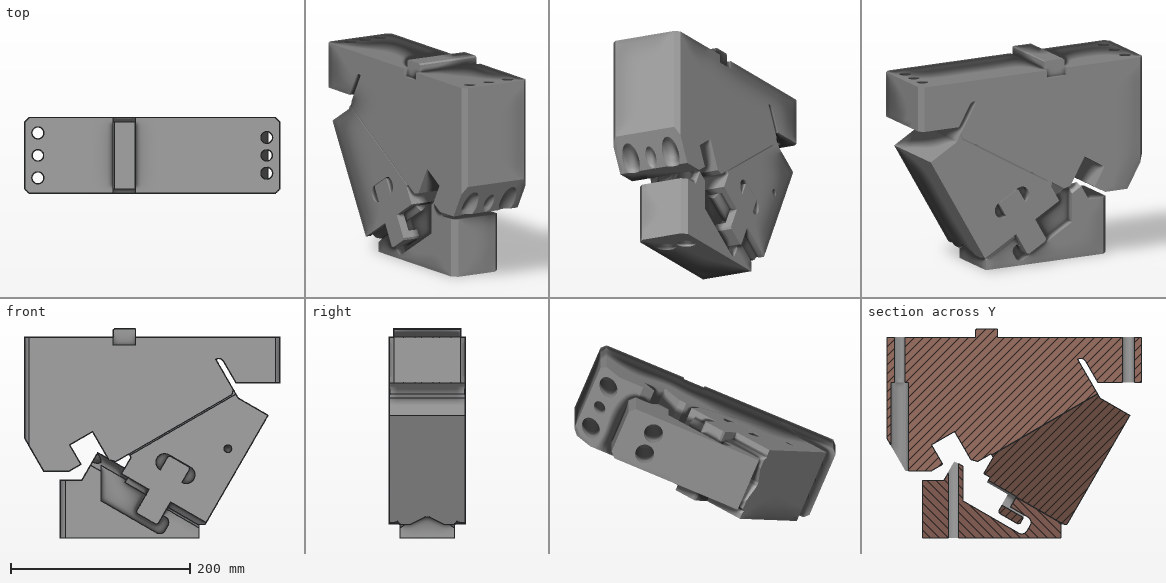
import cadquery as cq
import math


TILT = math.radians(30)
SIN = math.sin(TILT)
COS = math.cos(TILT)
TAN = math.tan(TILT)

LENGTH = 285.0
WIDTH = 85.0
DECK = 224.5
TOP = 234.0
HALF_WIDTH = WIDTH / 2
OVERSIZE = 2 * LENGTH

SLIDE_X = 73.5
SLIDE_Z = 81.5

CORNER_CHAMFER = 5.0
FLANGE_BOTTOM = 173.3
LEG_BOTTOM = 74.7
LEG_SLANT_W = 56.0
LEG_EDGE_H = 40.0
NOTCH_START_W = 95.8
NOTCH_END_W = 125.0
NOTCH_TOP_H = 65.0
NOSE_CHAMFER = 5.7
WEAR_H = 23.0
STEP_WALL_W = 284.7
SLOT_WIDTH = 6.3
SLOT_END_H = 66.0
CORNER_CUT_W = 4.0
CORNER_CUT_H = 4.5
STRIP_START_W = 148.0
STRIP_THICKNESS = 1.7
STRIP_INSET = 0.9

KEY_X = 99.0
KEY_WIDTH = 25.0
KEY_LENGTH = 75.0
KEY_SLOT_DEPTH = 9.0
KEY_LEFT_CHAMFER = 1.7
KEY_RIGHT_CHAMFER = 0.9

BOLT_DIAMETER = 13.0
DOWEL_DIAMETER = 12.5
HEAD_DIAMETER = 20.0
HOLE_INSET = 14.8
LEFT_BOLT_Y = 25.0
RIGHT_BOLT_Y = 20.0

BASE_START = 39.5
BASE_END = 195.0
BASE_SHOULDER = 65.0
BASE_HALF_WIDTH = 30.5
BASE_CHAMFER = 6.0
RIDGE_N = 16.2
BASE_HOLE_DIAMETER = 21.0
BASE_HOLE_X = 74.7
BASE_HOLE_Y = 12.5

POCKET_FLOOR_Y = 20.5
POCKET_START_X = 85.5
POCKET_BOTTOM_N = -28.5
POCKET_END_U = 108.5
POCKET_FILLET = 6.8
LIP_START_U = 79.2
LIP_BOTTOM_N = -8.3

SLIDER_START_U = 34.8
SLIDER_END_U = 144.0
SLIDER_BOTTOM_N = 9.0
SLIDER_TOP_N = 147.3
SLIDER_SIDE_TOP_N = 30.0
SLIDER_SHOULDER_U = 105.2
SLIDER_LOWEST_Z = 15.0
SKIRT_START_U = 43.0
SKIRT_BOTTOM_N = 2.5
GROOVE_OUTER_Y = 36.2
GROOVE_ROOT_Y = 33.0
PIN_U = 123.7
PIN_N = 92.5
PIN_RADIUS = 4.3
PIN_DEPTH = 14.2

HOOK_START_U = 70.0
HOOK_WIDTH = 28.0
HOOK_BOTTOM_N = -20.5
HOOK_TOP_N = 53.3
HOOK_CHAMFER = 2.0
HOOK_INNER_Y = 21.7
SHANK_INNER_Y = 33.3
FOOT_HEIGHT = 9.7
RELIEF_N = 44.2
RELIEF_RADIUS = 9.7

SIDES = (-1, 1)


def on_slide(u, n):
    """X and Z of a point given along and square to the slideway."""
    return SLIDE_X + u * COS + n * SIN, SLIDE_Z - u * SIN + n * COS


def on_wear(w, h):
    """X and Z of a point given along and square to the wear face."""
    return w * COS - h * SIN, w * SIN + h * COS


def slab(points, half_width):
    """Prism over an X-Z outline, centred on the middle plane."""
    return cq.Workplane("XZ").polyline(points).close().extrude(half_width, both=True)


def side_plane(side, y_inner, y_outer):
    """Plane of u and n at the +Y end of a span on one side; its normal is -Y."""
    y_end = max(side * y_inner, side * y_outer)
    return cq.Plane(origin=(SLIDE_X, y_end, SLIDE_Z), xDir=(COS, 0, -SIN), normal=(0, -1, 0))


def side_block(u_span, n_span, y_span, side):
    """Box square to the slideway on one side of the middle plane."""
    return (
        cq.Workplane(side_plane(side, *y_span))
        .moveTo(sum(u_span) / 2, sum(n_span) / 2)
        .rect(u_span[1] - u_span[0], n_span[1] - n_span[0])
        .extrude(y_span[1] - y_span[0])
    )


def along_slide(section, u_start, u_end):
    """Prism along the slideway over a Y-n section."""
    origin_x, origin_z = on_slide(u_start, 0)
    plane = cq.Plane(origin=(origin_x, 0, origin_z), xDir=(0, 1, 0), normal=(COS, 0, -SIN))
    return cq.Workplane(plane).polyline(section).close().extrude(u_end - u_start)


def roof_prism():
    """V-shaped roof with a flat ridge, longer than the base that carries it."""
    ridge_y = BASE_HALF_WIDTH - RIDGE_N / TAN
    section = [
        (-BASE_HALF_WIDTH, 0),
        (-ridge_y, RIDGE_N),
        (ridge_y, RIDGE_N),
        (BASE_HALF_WIDTH, 0),
    ]
    return along_slide(section, 0, LENGTH)


def vertical_holes(x, rows, diameter, z_end):
    """Cylinders from Z = 0 up to z_end, one at each Y in rows."""
    return cq.Workplane("XY").pushPoints([(x, y) for y in rows]).circle(diameter / 2).extrude(z_end)


def housing_blank():
    slant_bottom_x = (LEG_SLANT_W - LEG_BOTTOM * SIN) / COS
    leg_edge_x = (LEG_BOTTOM * COS - LEG_EDGE_H) / SIN
    slot_wall_w = STEP_WALL_W + SLOT_WIDTH
    slot_corner_h = SLOT_END_H - SLOT_WIDTH
    arc_middle = SLOT_WIDTH * math.sqrt(0.5)
    flange_x = (slot_wall_w - FLANGE_BOTTOM * SIN) / COS
    outline = (
        cq.Workplane("XZ")
        .moveTo(0, DECK)
        .lineTo(0, LEG_SLANT_W / SIN)
        .lineTo(slant_bottom_x, LEG_BOTTOM)
        .lineTo(leg_edge_x, LEG_BOTTOM)
        .lineTo(*on_wear(NOTCH_START_W, LEG_EDGE_H))
        .lineTo(*on_wear(NOTCH_START_W, NOTCH_TOP_H))
        .lineTo(*on_wear(NOTCH_END_W, NOTCH_TOP_H))
        .lineTo(*on_wear(NOTCH_END_W, WEAR_H + NOSE_CHAMFER))
        .lineTo(*on_wear(NOTCH_END_W + NOSE_CHAMFER, WEAR_H))
        .lineTo(*on_wear(STEP_WALL_W - CORNER_CUT_W, WEAR_H))
        .lineTo(*on_wear(STEP_WALL_W, WEAR_H + CORNER_CUT_H))
        .lineTo(*on_wear(STEP_WALL_W, SLOT_END_H))
        .threePointArc(
            on_wear(STEP_WALL_W + arc_middle, slot_corner_h + arc_middle),
            on_wear(slot_wall_w, slot_corner_h),
        )
        .lineTo(flange_x, FLANGE_BOTTOM)
        .lineTo(LENGTH, FLANGE_BOTTOM)
        .lineTo(LENGTH, DECK)
        .close()
    )
    blank = outline.extrude(HALF_WIDTH, both=True)
    return blank.edges("|Z").edges("<X or >X").chamfer(CORNER_CHAMFER)


def wear_strip():
    strip_h = WEAR_H - STRIP_THICKNESS
    outline = [
        on_wear(STRIP_START_W, strip_h),
        on_wear(STEP_WALL_W, strip_h),
        on_wear(STEP_WALL_W, WEAR_H + CORNER_CUT_H),
        on_wear(STEP_WALL_W - CORNER_CUT_W, WEAR_H),
        on_wear(STRIP_START_W, WEAR_H),
    ]
    return slab(outline, HALF_WIDTH - STRIP_INSET)


def key_bar(length, top):
    """Bar of the key's width that stands on the floor of the key slot."""
    floor = DECK - KEY_SLOT_DEPTH
    bar = cq.Workplane("XY").box(KEY_WIDTH, length, top - floor, centered=(False, True, False))
    return bar.translate((KEY_X, 0, floor))


def key():
    bar = key_bar(KEY_LENGTH, TOP)
    bar = bar.faces("<X").edges(">Z").chamfer(KEY_LEFT_CHAMFER)
    return bar.faces(">X").edges(">Z").chamfer(KEY_RIGHT_CHAMFER)


def cut_housing_holes(body):
    left_rows = (-LEFT_BOLT_Y, LEFT_BOLT_Y)
    right_rows = (-RIGHT_BOLT_Y, RIGHT_BOLT_Y)
    right_x = LENGTH - HOLE_INSET
    body = body.cut(vertical_holes(HOLE_INSET, left_rows, BOLT_DIAMETER, DECK))
    body = body.cut(vertical_holes(right_x, right_rows, BOLT_DIAMETER, DECK))
    for x in (HOLE_INSET, right_x):
        body = body.cut(vertical_holes(x, [0], DOWEL_DIAMETER, DECK))
    return body.cut(vertical_holes(HOLE_INSET, left_rows, HEAD_DIAMETER, FLANGE_BOTTOM))


def make_housing():
    body = housing_blank().union(wear_strip())
    body = body.cut(key_bar(WIDTH, DECK)).union(key())
    body = cut_housing_holes(body)
    return body.cut(roof_prism())


def base_blank():
    shoulder_x = SLIDE_X - (SLIDE_Z - BASE_SHOULDER) * TAN
    end_top = SLIDE_Z - (BASE_END - SLIDE_X) * TAN
    outline = [
        (BASE_START, 0),
        (BASE_START, BASE_SHOULDER),
        (shoulder_x, BASE_SHOULDER),
        (SLIDE_X, SLIDE_Z),
        (BASE_END, end_top),
        (BASE_END, 0),
    ]
    body = slab(outline, BASE_HALF_WIDTH)
    return body.edges("|Z and <X").chamfer(BASE_CHAMFER)


def base_roof():
    past_end = cq.Workplane("XY").box(OVERSIZE, WIDTH, OVERSIZE, centered=(False, True, True))
    return roof_prism().cut(past_end.translate((BASE_END, 0, 0)))


def base_pocket(side):
    """Pocket open to the roof on the left, running under a lip to a rounded right end."""
    y_span = (POCKET_FLOOR_Y, BASE_HALF_WIDTH)
    groove = side_block((0, POCKET_END_U), (POCKET_BOTTOM_N, LIP_BOTTOM_N), y_span, side)
    right_end = groove.faces(cq.DirectionMinMaxSelector(cq.Vector(COS, 0, -SIN), True))
    groove = right_end.edges("|Y").fillet(POCKET_FILLET)
    opening = side_block((0, LIP_START_U), (POCKET_BOTTOM_N, RIDGE_N), y_span, side)
    left_of_pocket = cq.Workplane("XY").box(POCKET_START_X, WIDTH, OVERSIZE, centered=(False, True, True))
    return groove.union(opening).cut(left_of_pocket)


def make_base():
    body = base_blank().union(base_roof())
    for side in SIDES:
        body = body.cut(base_pocket(side))
    hole_rows = (-BASE_HOLE_Y, BASE_HOLE_Y)
    return body.cut(vertical_holes(BASE_HOLE_X, hole_rows, BASE_HOLE_DIAMETER, DECK))


def slider_blank():
    face_h = WEAR_H - STRIP_THICKNESS
    outline = [
        on_slide(SLIDER_START_U, SLIDER_BOTTOM_N),
        on_slide(SLIDER_END_U, SLIDER_BOTTOM_N),
        on_slide(SLIDER_END_U, SLIDER_TOP_N),
        on_slide(SLIDER_SHOULDER_U, SLIDER_TOP_N),
        on_wear(STEP_WALL_W, face_h),
        on_wear(STRIP_START_W, face_h),
        on_slide(SLIDER_START_U, SLIDER_SIDE_TOP_N),
    ]
    return slab(outline, HALF_WIDTH)


def add_skirt(body):
    """V groove along the underside whose inner flank runs on down as the side of the skirt."""
    root_n = SLIDER_BOTTOM_N + (GROOVE_OUTER_Y - GROOVE_ROOT_Y) * TAN
    groove_inner_y = GROOVE_ROOT_Y - (root_n - SLIDER_BOTTOM_N) * TAN
    bottom_y = GROOVE_ROOT_Y - (root_n - SKIRT_BOTTOM_N) * TAN
    skirt = [
        (-groove_inner_y, SLIDER_BOTTOM_N),
        (-bottom_y, SKIRT_BOTTOM_N),
        (bottom_y, SKIRT_BOTTOM_N),
        (groove_inner_y, SLIDER_BOTTOM_N),
    ]
    body = body.union(along_slide(skirt, SKIRT_START_U, SLIDER_END_U))
    for side in SIDES:
        groove = [
            (side * GROOVE_OUTER_Y, SLIDER_BOTTOM_N),
            (side * GROOVE_ROOT_Y, root_n),
            (side * groove_inner_y, SLIDER_BOTTOM_N),
        ]
        body = body.cut(along_slide(groove, SKIRT_START_U, SLIDER_END_U))
    body = body.cut(roof_prism())
    below = cq.Workplane("XY").box(OVERSIZE, WIDTH, OVERSIZE, centered=(True, True, False))
    return body.cut(below.translate((0, 0, SLIDER_LOWEST_Z - OVERSIZE)))


def hook(side):
    """L-shaped hook: a shank flush with the slider's side and a foot that points inwards."""
    u_span = (HOOK_START_U, HOOK_START_U + HOOK_WIDTH)
    plate = side_block(u_span, (HOOK_BOTTOM_N, HOOK_TOP_N), (HOOK_INNER_Y, HALF_WIDTH), side)
    plate = plate.edges("|Y").chamfer(HOOK_CHAMFER)
    above_foot = (HOOK_BOTTOM_N + FOOT_HEIGHT, HOOK_TOP_N)
    return plate.cut(side_block(u_span, above_foot, (HOOK_INNER_Y, SHANK_INNER_Y), side))


def hook_relief(side):
    """Round-ended recess around the top of the hook."""
    return (
        cq.Workplane(side_plane(side, SHANK_INNER_Y, HALF_WIDTH))
        .center(HOOK_START_U + HOOK_WIDTH / 2, RELIEF_N)
        .slot2D(HOOK_WIDTH + 2 * RELIEF_RADIUS, 2 * RELIEF_RADIUS)
        .extrude(HALF_WIDTH - SHANK_INNER_Y)
    )


def pin_hole():
    """Blind hole with a drilled tip in the slider's -Y side."""
    x, z = on_slide(PIN_U, PIN_N)
    inward = cq.Vector(0, 1, 0)
    mouth = cq.Vector(x, -HALF_WIDTH, z)
    bore = cq.Solid.makeCylinder(PIN_RADIUS, PIN_DEPTH, mouth, inward)
    tip = cq.Solid.makeCone(PIN_RADIUS, 0, PIN_RADIUS * TAN, mouth + inward * PIN_DEPTH, inward)
    return cq.Workplane(bore).union(cq.Workplane(tip))


def make_slider():
    body = add_skirt(slider_blank())
    for side in SIDES:
        body = body.cut(hook_relief(side)).union(hook(side))
    return body.cut(pin_hole())


housing = make_housing()
base = make_base()
slider = make_slider()
result = cq.Compound.makeCompound([housing.val(), base.val(), slider.val()])